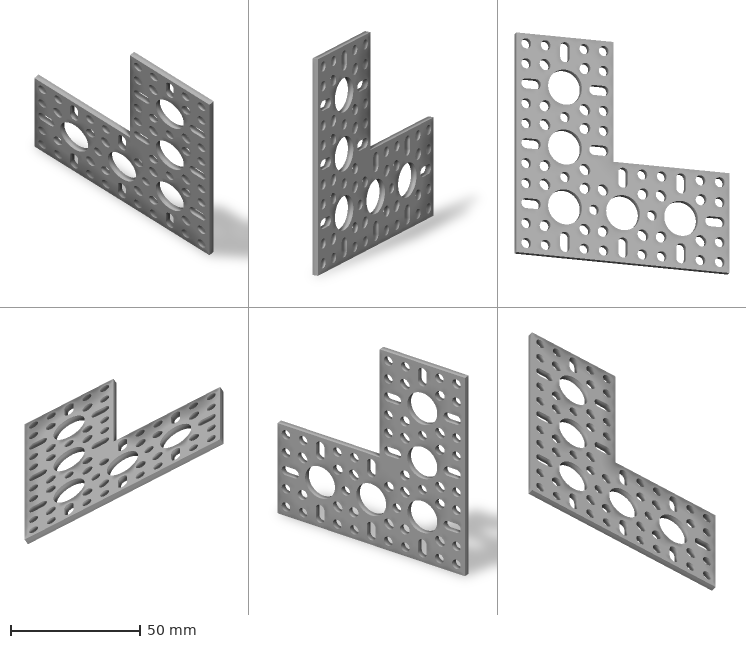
import cadquery as cq
import math


side_length = 88.0
thickness = 2.5

pitch = side_length / 11
arm_width = 5 * pitch
edge_margin = pitch / 2
bores_per_arm = 3
bore_spacing = 3 * pitch
bore_edge_distance = arm_width / 2

bore_diameter = 14.0
hole_diameter = pitch / 2
slot_length = pitch
slot_center_inset = edge_margin + (slot_length - hole_diameter) / 2

square_corner_radius = pitch * math.sqrt(2)
bolt_circle_radius = 1.5 * pitch
diagonal_slot_radius = (square_corner_radius + bolt_circle_radius) / 2
diagonal_slot_length = bolt_circle_radius - square_corner_radius + hole_diameter


def mirrored(points):
    """Mirror (x, z) points of the lower arm onto the upright arm."""
    return [(side_length - z, side_length - x) for x, z in points]


def both_arms(points):
    """Lower arm points plus their mirror images, without duplicates."""
    unique = {(round(x, 6), round(z, 6)) for x, z in points + mirrored(points)}
    return sorted(unique)


def make_plate():
    inner_corner_x = side_length - arm_width
    outline = [
        (0, 0),
        (side_length, 0),
        (side_length, side_length),
        (inner_corner_x, side_length),
        (inner_corner_x, arm_width),
        (0, arm_width),
    ]
    return cq.Workplane("XZ").polyline(outline).close().extrude(-thickness)


def cut_holes(body, points, diameter):
    holes = cq.Workplane("XZ").pushPoints(points).circle(diameter / 2)
    return body.cut(holes.extrude(-thickness))


def cut_slots(body, points, length, angle):
    """Cut slots whose long axis is tilted by angle from the X axis."""
    slots = cq.Workplane("XZ").pushPoints(points).slot2D(length, hole_diameter, angle)
    return body.cut(slots.extrude(-thickness))


def cut_diagonal_slots(body, centers):
    """Cut four short radial slots around each bore."""
    for angle in (45, 135, 225, 315):
        dx = diagonal_slot_radius * math.cos(math.radians(angle))
        dz = diagonal_slot_radius * math.sin(math.radians(angle))
        points = [(x + dx, z + dz) for x, z in centers]
        body = cut_slots(body, points, diagonal_slot_length, angle)
    return body


bore_xs = [bore_edge_distance + i * bore_spacing for i in range(bores_per_arm)]
straight_bore_xs = bore_xs[:-1]
bores = [(x, bore_edge_distance) for x in bore_xs]

outer_row = [(edge_margin + i * pitch, edge_margin) for i in (0, 1, 3, 4, 6, 7, 9, 10)]
inner_row = [(edge_margin + i * pitch, arm_width - edge_margin) for i in (0, 1, 3, 4)]
end_holes = [(edge_margin, bore_edge_distance + offset) for offset in (-pitch, pitch)]
between_bores = [(x + bore_spacing / 2, bore_edge_distance) for x in straight_bore_xs]
small_holes = outer_row + inner_row + end_holes + between_bores

outer_slots = [(x, slot_center_inset) for x in bore_xs]
inner_slots = [(x, arm_width - slot_center_inset) for x in straight_bore_xs]
upright_slots = outer_slots + inner_slots
end_slot = [(slot_center_inset, bore_edge_distance)]

result = make_plate()
result = cut_holes(result, both_arms(bores), bore_diameter)
result = cut_holes(result, both_arms(small_holes), hole_diameter)
result = cut_slots(result, upright_slots + mirrored(end_slot), slot_length, 90)
result = cut_slots(result, end_slot + mirrored(upright_slots), slot_length, 0)
result = cut_diagonal_slots(result, both_arms(bores))